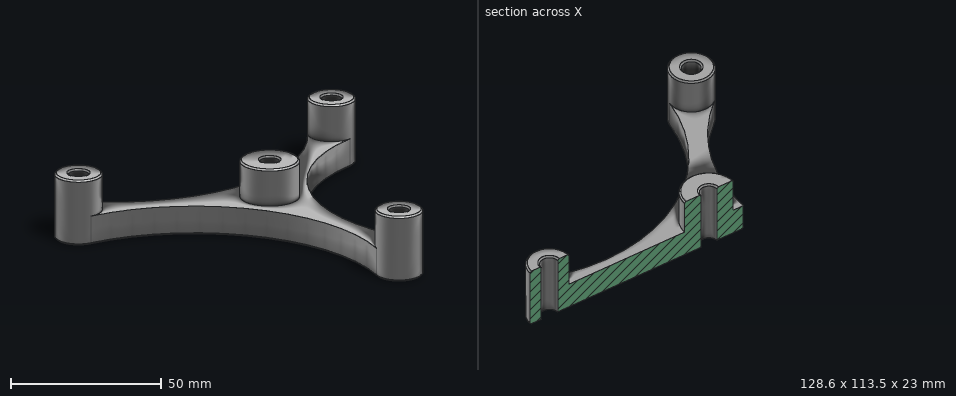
import cadquery as cq
import math

ARM_COUNT = 3
ARM_LENGTH = 65.0
FIRST_ARM_ANGLE = 90.0
SIDE_ARC_RADIUS = 65.0
PLATE_THICKNESS = 10.0
TOTAL_HEIGHT = 23.0
POST_DIAMETER = 16.0
HUB_DIAMETER = 20.0
POST_HOLE_DIAMETER = 6.6
HUB_HOLE_DIAMETER = 6.4
EDGE_CHAMFER = 0.6
HOLE_CHAMFER = 0.6

ARM_PITCH = 360.0 / ARM_COUNT
HALF_PITCH = ARM_PITCH / 2
POST_RADIUS = POST_DIAMETER / 2
BOSS_HEIGHT = TOTAL_HEIGHT - PLATE_THICKNESS
ARM_ANGLES = [FIRST_ARM_ANGLE + i * ARM_PITCH for i in range(ARM_COUNT)]

ARC_TO_POST_DISTANCE = SIDE_ARC_RADIUS + POST_RADIUS
HUB_TO_ARC_DISTANCE = ARM_LENGTH * math.cos(math.radians(HALF_PITCH)) + math.sqrt(
    ARC_TO_POST_DISTANCE**2 - (ARM_LENGTH * math.sin(math.radians(HALF_PITCH))) ** 2
)
HUB_TO_SIDE_DISTANCE = HUB_TO_ARC_DISTANCE - SIDE_ARC_RADIUS


def polar(radius, angle):
    """Point at a radius and an angle in degrees around the hub axis."""
    return (radius * math.cos(math.radians(angle)), radius * math.sin(math.radians(angle)))


HUB_POINT = (0.0, 0.0)
POST_POINTS = [polar(ARM_LENGTH, angle) for angle in ARM_ANGLES]


def tangent_point(arm_angle, side_angle):
    """Point where the side arc centred along side_angle touches the post of an arm."""
    post = polar(ARM_LENGTH, arm_angle)
    arc_centre = polar(HUB_TO_ARC_DISTANCE, side_angle)
    share = POST_RADIUS / ARC_TO_POST_DISTANCE
    return tuple(p + (c - p) * share for p, c in zip(post, arc_centre))


def make_plate():
    """Three-armed plate: round arm ends joined by concave arcs tangent to them."""
    start = tangent_point(FIRST_ARM_ANGLE, FIRST_ARM_ANGLE - HALF_PITCH)
    outline = cq.Workplane("XY").moveTo(*start)
    for angle in ARM_ANGLES:
        side_angle = angle + HALF_PITCH
        arm_tip = polar(ARM_LENGTH + POST_RADIUS, angle)
        side_middle = polar(HUB_TO_SIDE_DISTANCE, side_angle)
        outline = outline.threePointArc(arm_tip, tangent_point(angle, side_angle))
        outline = outline.threePointArc(side_middle, tangent_point(angle + ARM_PITCH, side_angle))
    plate = outline.close().extrude(PLATE_THICKNESS)
    return plate.faces("<Z").chamfer(EDGE_CHAMFER)


def make_boss(point, diameter):
    """Upright cylinder standing on the plate, chamfered around its top rim."""
    base = cq.Workplane("XY", origin=(*point, PLATE_THICKNESS))
    boss = base.circle(diameter / 2).extrude(BOSS_HEIGHT)
    return boss.faces(">Z").edges().chamfer(EDGE_CHAMFER)


def make_hole(point, diameter):
    """Cutter for a through hole with a chamfered upper mouth."""
    radius = diameter / 2
    mouth_radius = radius + HOLE_CHAMFER
    profile = [
        (0, 0),
        (radius, 0),
        (radius, TOTAL_HEIGHT - HOLE_CHAMFER),
        (mouth_radius, TOTAL_HEIGHT),
        (0, TOTAL_HEIGHT),
    ]
    cutter = cq.Workplane("XZ").polyline(profile).close().revolve(360, (0, 0, 0), (0, 1, 0))
    return cutter.translate((*point, 0))


result = make_plate().union(make_boss(HUB_POINT, HUB_DIAMETER))
result = result.cut(make_hole(HUB_POINT, HUB_HOLE_DIAMETER))
for post_point in POST_POINTS:
    result = result.union(make_boss(post_point, POST_DIAMETER))
    result = result.cut(make_hole(post_point, POST_HOLE_DIAMETER))